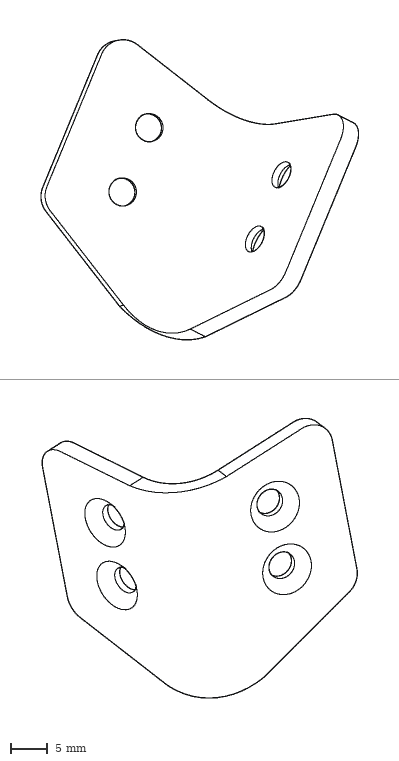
import cadquery as cq
import math

tilt = 39.85
wing_angle = 33.0
thickness = 2.8
inner_radius = 9.55
bend_length = 31.15
edge_half_width = 18.63
corner_radius = 3.25

lower_end_angle = 45.0
upper_end_angle = 65.0

hole_diameter = 3.8
sink_diameter = 7.25
sink_angle = 90.0
hole_offset = 6.075
first_hole = 15.67
hole_pitch = 9.5
holes_per_wing = 2

trim_margin = 1.0
trim_depth = 20.0
trim_points = 9

angle = math.radians(wing_angle)
outer_radius = inner_radius + thickness
tangent_x = inner_radius * math.sin(angle)
tangent_z = inner_radius * (1 - math.cos(angle))
wing_length = (edge_half_width - tangent_x) / math.cos(angle)
lower_slope = 1 / math.tan(math.radians(lower_end_angle))
upper_slope = 1 / math.tan(math.radians(upper_end_angle))


def lower_end(height):
    """Y of the lower end edge at a height on the hollow face."""
    return lower_slope * height


def upper_end(height):
    """Y of the upper end edge at a height on the hollow face."""
    return bend_length + upper_slope * height


def bend_point(radius, turn, y):
    """Point on the bend at a radius and an angle from its lowest line."""
    return cq.Vector(radius * math.sin(turn), y, inner_radius - radius * math.cos(turn))


def end_curve(radius, end):
    """Curve of one bend end at a radius; Y depends only on the angle."""
    reach = angle + trim_margin / inner_radius
    turns = [reach * (2 * i / (trim_points - 1) - 1) for i in range(trim_points)]
    points = []
    for turn in turns:
        height = inner_radius * (1 - math.cos(turn))
        points.append(bend_point(radius, turn, end(height)))
    return cq.Edge.makeSpline(points)


def end_trim(end, direction):
    """Solid beyond one end of the bend, bounded by a radial ruled surface."""
    inner_curve = end_curve(inner_radius - trim_margin, end)
    outer_curve = end_curve(outer_radius + trim_margin, end)
    surface = cq.Face.makeRuledSurface(inner_curve, outer_curve)
    return cq.Solid.extrudeLinear(surface, cq.Vector(0, direction * trim_depth, 0))


def section_point(radius, turn):
    """X and Z of a bend point."""
    point = bend_point(radius, turn, 0)
    return point.x, point.z


def make_bend():
    """Ring sector between the wings, trimmed at both ends."""
    start = lower_end(0) - trim_margin
    stop = upper_end(tangent_z) + trim_margin
    sector = (
        cq.Workplane("XZ", origin=(0, start, 0))
        .moveTo(*section_point(inner_radius, -angle))
        .threePointArc(section_point(inner_radius, 0), section_point(inner_radius, angle))
        .lineTo(*section_point(outer_radius, angle))
        .threePointArc(section_point(outer_radius, 0), section_point(outer_radius, -angle))
        .close()
        .extrude(start - stop)
    )
    return sector.cut(end_trim(lower_end, -1)).cut(end_trim(upper_end, 1))


def make_wing():
    """Wing on the +X side, with rounded corners and countersunk holes."""
    along = (math.cos(angle), 0, math.sin(angle))
    hollow_normal = (-math.sin(angle), 0, math.cos(angle))
    outward = (math.sin(angle), 0, -math.cos(angle))
    tip_z = tangent_z + wing_length * math.sin(angle)
    hollow_face = cq.Plane((tangent_x, 0, tangent_z), along, hollow_normal)
    wing = (
        cq.Workplane(hollow_face)
        .moveTo(0, lower_end(tangent_z))
        .lineTo(wing_length, lower_end(tip_z))
        .lineTo(wing_length, upper_end(tip_z))
        .lineTo(0, upper_end(tangent_z))
        .close()
        .extrude(-thickness)
    )
    across_thickness = cq.selectors.ParallelDirSelector(cq.Vector(*hollow_normal))
    tip = wing.faces(cq.selectors.DirectionMinMaxSelector(cq.Vector(*along), True))
    wing = tip.edges(across_thickness).fillet(corner_radius)

    outer_origin = bend_point(outer_radius, angle, 0)
    outer_face = cq.Plane(outer_origin.toTuple(), along, outward)
    holes = [(hole_offset, -(first_hole + i * hole_pitch)) for i in range(holes_per_wing)]
    sunk_side = cq.Workplane(outer_face).add(wing)
    return sunk_side.pushPoints(holes).cskHole(hole_diameter, sink_diameter, sink_angle)


right_wing = make_wing()
left_wing = right_wing.mirror("YZ")
plate = make_bend().union(right_wing).union(left_wing)
result = plate.rotate((0, 0, 0), (1, 0, 0), tilt)